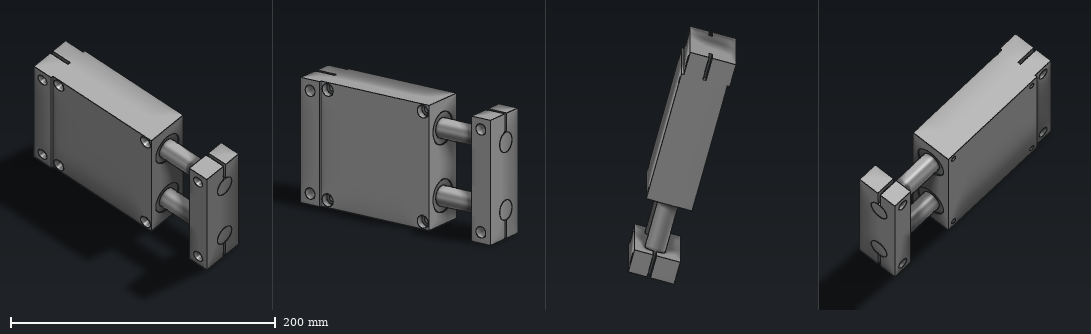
import cadquery as cq

height = 100.0
clamp_width = 17.8
body_width = 100.0
thickness = 36.0
clamp_offset = 2.0
rod_length = 176.0
rod_protrusion = 0.2

body_start = clamp_width
body_end = body_start + body_width
far_clamp_start = rod_length - rod_protrusion - clamp_width
body_front = -thickness / 2
clamp_front = body_front - clamp_offset

rod_diameter = 16.0
rod_spacing = 54.0
seat_diameter = 26.0
seat_depth = 1.0

slot_width = 2.5
clamp_hole_diameter = 9.0
clamp_hole_spacing = 82.0

screw_inset = 6.0
head_diameter = 10.0
head_depth = 6.0
clearance_diameter = 5.3
clearance_depth = 20.0
rear_hole_diameter = 4.5


def block(x_start, y_start, width):
    """Full-height plate, centred on Z."""
    return (
        cq.Workplane("XY")
        .box(width, thickness, height, centered=(False, False, True))
        .translate((x_start, y_start, 0))
    )


def cylinder_along_x(x_start, z, diameter, length):
    """Cylinder on a rod axis, running toward +X."""
    return cq.Workplane("YZ", origin=(x_start, 0, z)).circle(diameter / 2).extrude(length)


def cylinder_along_y(x, y_start, z, diameter, length):
    """Cylinder running from y_start toward the back."""
    return cq.Workplane("XZ", origin=(x, y_start, z)).circle(diameter / 2).extrude(-length)


def make_clamp(x_start):
    """Clamp plate with two mounting holes and a slot from each end to its rod."""
    clamp = block(x_start, clamp_front, clamp_width)
    x_middle = x_start + clamp_width / 2
    slot_depth = (height - rod_spacing) / 2
    for side in (-1, 1):
        hole_z = side * clamp_hole_spacing / 2
        hole = cylinder_along_y(x_middle, clamp_front, hole_z, clamp_hole_diameter, thickness)
        clamp = clamp.cut(hole)
        slot_z = side * (height - slot_depth) / 2
        slot = cq.Workplane("XY").box(clamp_width, slot_width, slot_depth)
        clamp = clamp.cut(slot.translate((x_middle, 0, slot_z)))
    return clamp


def make_screw_hole(x, z):
    """Three coaxial steps, widest at the front face of the body."""
    head = cylinder_along_y(x, body_front, z, head_diameter, head_depth)
    clearance = cylinder_along_y(x, body_front, z, clearance_diameter, clearance_depth)
    rear_hole = cylinder_along_y(x, body_front, z, rear_hole_diameter, thickness)
    return head.union(clearance).union(rear_hole)


def make_body():
    """Sliding body with four corner screw holes and a rod seat at each end."""
    body = block(body_start, body_front, body_width)
    for x in (body_start + screw_inset, body_end - screw_inset):
        for side in (-1, 1):
            body = body.cut(make_screw_hole(x, side * (height / 2 - screw_inset)))
    for x in (body_start, body_end - seat_depth):
        for side in (-1, 1):
            body = body.cut(cylinder_along_x(x, side * rod_spacing / 2, seat_diameter, seat_depth))
    return body


result = make_body().union(make_clamp(0)).union(make_clamp(far_clamp_start))
for rod_z in (-rod_spacing / 2, rod_spacing / 2):
    result = result.union(cylinder_along_x(0, rod_z, rod_diameter, rod_length))